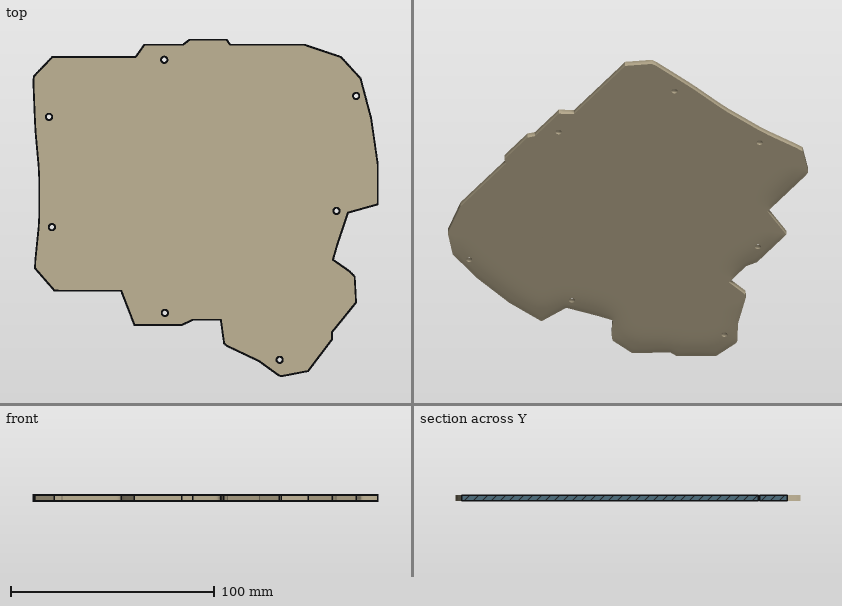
import cadquery as cq

plate_length = 169.62
plate_width = 165.68
plate_thickness = 3.0
hole_diameter = 3.0

rear_tab_y = plate_width
rear_middle_y = 163.3
rear_left_y = 157.2
front_left_y = 42.0
front_middle_y = 25.2
front_step_y = 27.8

left_side = [
    (0.8, 53.2),
    (1.0, 57.4),
    (2.6, 73.0),
    (2.9, 78.4),
    (2.9, 97.5),
    (2.6, 103.5),
    (1.2, 119.0),
    (0.95, 122.6),
    (0.65, 129.2),
    (0.0, 145.3),
    (0.3, 147.7),
]
rear_side = [
    (9.4, rear_left_y),
    (50.4, rear_left_y),
    (54.7, rear_middle_y),
    (73.8, rear_middle_y),
    (76.9, rear_tab_y),
    (95.3, rear_tab_y),
    (96.9, rear_middle_y),
    (133.4, rear_middle_y),
    (151.5, rear_left_y),
]
right_side = [
    (161.2, 146.6),
    (166.4, 127.0),
    (plate_length, 104.7),
    (plate_length, 84.6),
    (155.0, 80.5),
    (149.8, 65.0),
    (147.6, 57.4),
]
thumb_lobe = [
    (155.6, 51.8),
    (158.3, 49.1),
    (159.0, 36.4),
    (149.0, 24.0),
    (147.1, 21.7),
    (147.1, 18.1),
    (135.3, 2.5),
    (122.2, 0.0),
    (121.0, 0.3),
    (111.2, 7.4),
    (95.4, 14.9),
    (93.9, 16.3),
]
front_side = [
    (92.3, front_step_y),
    (78.6, front_step_y),
    (73.2, front_middle_y),
    (49.8, front_middle_y),
    (43.3, front_left_y),
    (14.0, front_left_y),
    (10.4, 42.2),
]

hole_centers = [
    (7.8, 127.7),
    (9.2, 73.4),
    (64.5, 155.8),
    (64.8, 31.2),
    (121.3, 8.1),
    (149.3, 81.4),
    (159.0, 138.0),
]


def make_plate():
    outline = left_side + rear_side + right_side + thumb_lobe + front_side
    return cq.Workplane("XY").polyline(outline).close().extrude(plate_thickness)


def drill_holes(plate):
    drills = (
        cq.Workplane("XY")
        .pushPoints(hole_centers)
        .circle(hole_diameter / 2)
        .extrude(plate_thickness)
    )
    return plate.cut(drills)


result = drill_holes(make_plate())